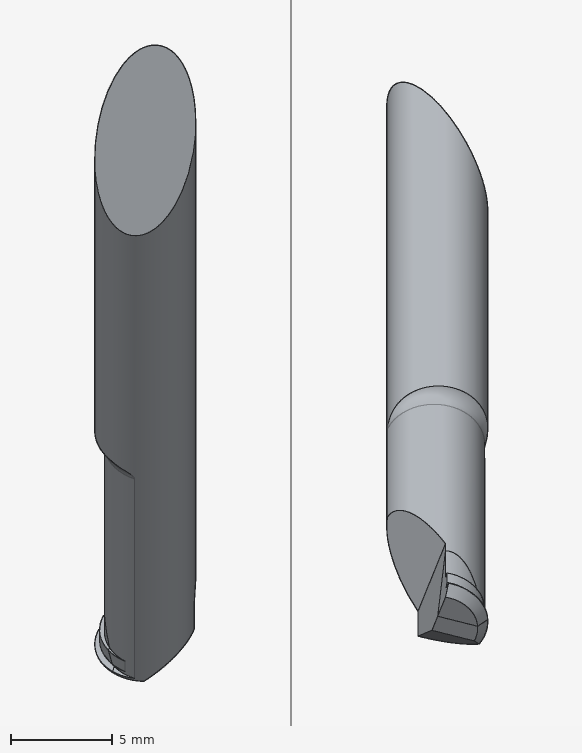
import cadquery as cq
import math

length = 41.6
shank_radius = 2.5
slant_angle = 30.0

neck_offset = 0.5
neck_fillet = 1.0
neck_top = 15.2

flat_y = 0.2
flat_top = 4.25
tip_chamfer_x = 0.2

lip_height = 0.5
lip_bevel = 0.5
lip_slope = 0.15
bead_offset = 0.15
bead_radius = 2.4
bead_bottom = 0.87
bead_top = 1.62
bead_taper = 0.2

seam_top_x = -2.0
seam_top_z = 3.7
seam_angle = 19.0

cutter_size = 3 * shank_radius


def prism_along_y(points):
    """Extrude an XZ outline right through the bar."""
    return cq.Workplane("XZ").polyline(points).close().extrude(cutter_size, both=True)


def prism_along_x(points):
    """Extrude a YZ outline right through the bar."""
    return cq.Workplane("YZ").polyline(points).close().extrude(cutter_size, both=True)


def round_bar():
    """Full-length bar with the bevelled rim of the lip at the bottom."""
    bar = cq.Workplane("XY").circle(shank_radius).extrude(length)
    return bar.faces("<Z").chamfer(lip_bevel)


def neck_cutter():
    """Material outside the eccentric neck, revolved about the neck axis."""
    top = neck_top + neck_fillet
    arc_share = math.sqrt(0.5)
    fillet_middle = (
        shank_radius + neck_fillet * (1 - arc_share),
        neck_top + neck_fillet * arc_share,
    )
    profile = (
        cq.Workplane("XZ")
        .moveTo(shank_radius, lip_height + lip_slope)
        .lineTo(shank_radius, neck_top)
        .threePointArc(fillet_middle, (shank_radius + neck_fillet, top))
        .lineTo(cutter_size, top)
        .lineTo(cutter_size, lip_height)
        .lineTo(shank_radius + neck_offset, lip_height)
        .close()
    )
    return profile.revolve(360, (0, 0), (0, 1)).translate((neck_offset, 0, 0))


def bead():
    """Raised band above the lip, tapered on its underside."""
    profile = (
        cq.Workplane("XZ")
        .moveTo(0, lip_height)
        .lineTo(bead_radius - bead_taper, lip_height)
        .lineTo(bead_radius, bead_bottom)
        .lineTo(bead_radius, bead_top)
        .lineTo(0, bead_top)
        .close()
    )
    return profile.revolve(360, (0, 0), (0, 1)).translate((bead_offset, 0, 0))


def top_slant_cutter():
    rise = 2 * shank_radius / math.tan(math.radians(slant_angle))
    return prism_along_x([
        (shank_radius, length),
        (-shank_radius, length - rise),
        (-shank_radius, length),
    ])


def flat_cutter():
    """Flat beside the cutting tip and the ramp that leads out of it."""
    rise = (cutter_size - flat_y) / math.tan(math.radians(slant_angle))
    return prism_along_x([
        (flat_y, 0),
        (flat_y, flat_top),
        (cutter_size, flat_top + rise),
        (cutter_size, 0),
    ])


def tip_relief_cutter():
    return prism_along_y([
        (tip_chamfer_x, 0),
        (tip_chamfer_x + cutter_size, cutter_size),
        (tip_chamfer_x + cutter_size, 0),
    ])


def tip_space():
    """Wedge on the -X side of the seam."""
    slope = math.tan(math.radians(seam_angle))
    wedge_top_z = seam_top_z + (cutter_size + seam_top_x) / slope
    seam_bottom_x = seam_top_x + seam_top_z * slope
    return prism_along_y([
        (seam_bottom_x, 0),
        (-cutter_size, wedge_top_z),
        (-cutter_size, 0),
    ])


bar = round_bar()
tool = bar.cut(neck_cutter()).union(bead().intersect(bar))
tool = tool.cut(top_slant_cutter()).cut(flat_cutter()).cut(tip_relief_cutter())

shank = tool.cut(tip_space())
cutting_tip = tool.intersect(tip_space())

result = cq.Compound.makeCompound([shank.val(), cutting_tip.val()])